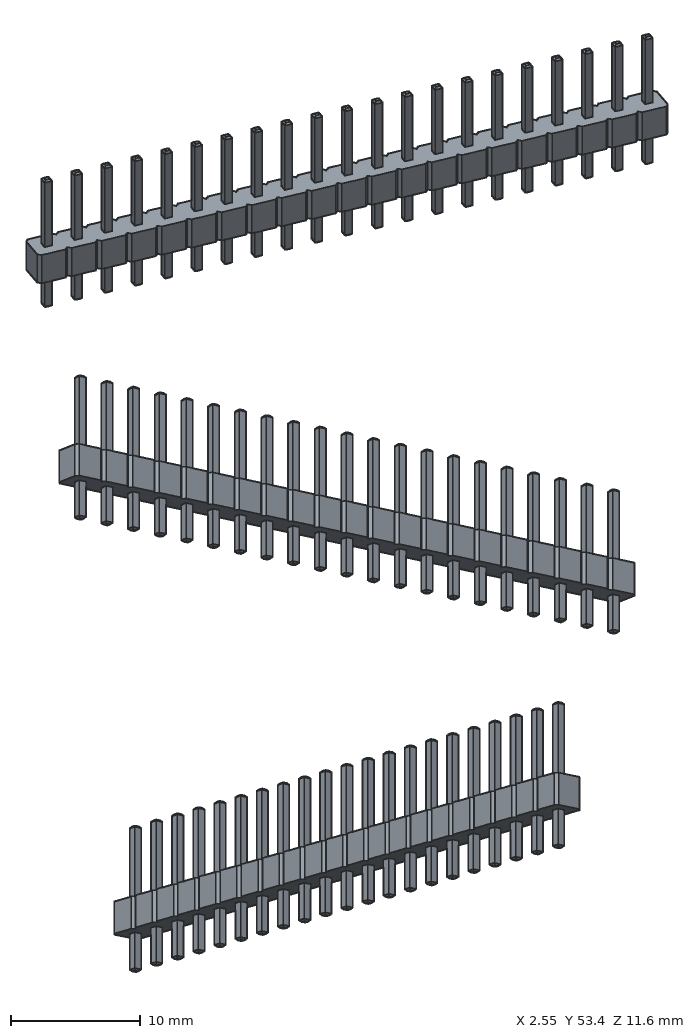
import cadquery as cq

strip_length = 53.35
pin_count = 21
pitch = strip_length / pin_count

body_width = 2.55
body_height = 2.55
body_corner_chamfer = 0.25

pin_side = 0.65
pin_above_body = 6.0
pin_below_body = 3.0
pin_length = pin_below_body + body_height + pin_above_body
pin_tip_chamfer = 0.15


def make_body_block():
    """One octagonal insulator cell, with its base on the XY plane."""
    block = cq.Workplane("XY").box(body_width, pitch, body_height, centered=(True, True, False))
    return block.edges("|Z").chamfer(body_corner_chamfer)


def make_pin():
    """One square pin through the cell, bevelled around both tips."""
    pin = (
        cq.Workplane("XY")
        .workplane(offset=-pin_below_body)
        .rect(pin_side, pin_side)
        .extrude(pin_length)
    )
    return pin.faces("<Z or >Z").chamfer(pin_tip_chamfer)


cell = make_body_block().union(make_pin())
first_cell_y = -(strip_length - pitch) / 2

result = cell.translate((0, first_cell_y, 0))
for index in range(1, pin_count):
    result = result.union(cell.translate((0, first_cell_y + index * pitch, 0)))
result = result.clean()